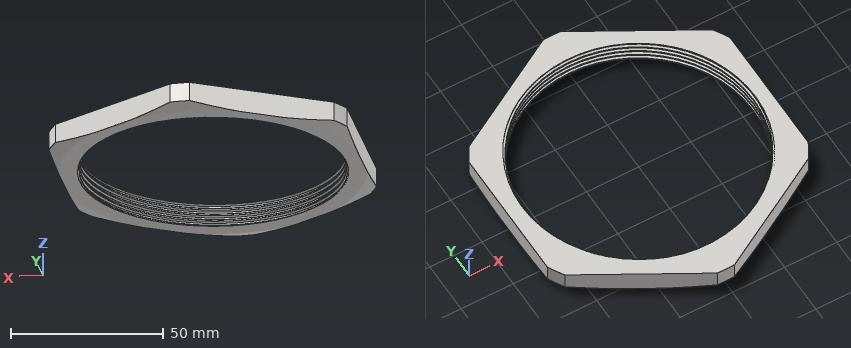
import cadquery as cq
import math

across_flats = 100.0
across_corners = 111.8
thickness = 8.0

bevel_radius = 50.5
bevel_height = 1.5

bore_radius = 44.0
thread_turns = 4
thread_pitch = thickness / thread_turns
groove_depth = 0.8
groove_mouth = 0.75 * thread_pitch
flank_slope = math.tan(math.pi / 6)
groove_overlap = 0.1
run_out_turns = 1


def hexagon_body():
    """Hexagon with flats facing +X and -X, centred on the Z axis."""
    circumdiameter = across_flats / math.cos(math.pi / 6)
    return (
        cq.Workplane("XY")
        .transformed(rotate=(0, 0, 90))
        .polygon(6, circumdiameter)
        .extrude(thickness)
    )


def turned_envelope():
    """Round blank that trims the six corners and bevels their lower ends."""
    outer_radius = across_corners / 2
    return (
        cq.Workplane("XZ")
        .moveTo(0, 0)
        .lineTo(bevel_radius, 0)
        .lineTo(outer_radius, bevel_height)
        .lineTo(outer_radius, thickness)
        .lineTo(0, thickness)
        .close()
        .revolve(360, (0, 0, 0), (0, 1, 0))
    )


def thread_groove():
    """Right-hand helical groove whose root meets both faces on the +Y side."""
    run_out = run_out_turns * thread_pitch
    path = cq.Wire.makeHelix(thread_pitch, thickness + 2 * run_out, bore_radius)
    inner_radius = bore_radius - groove_overlap
    root_radius = bore_radius + groove_depth
    inner_half_width = groove_mouth / 2 + groove_overlap * flank_slope
    root_half_width = groove_mouth / 2 - groove_depth * flank_slope
    groove = (
        cq.Workplane("XZ")
        .moveTo(inner_radius, -inner_half_width)
        .lineTo(root_radius, -root_half_width)
        .lineTo(root_radius, root_half_width)
        .lineTo(inner_radius, inner_half_width)
        .close()
        .sweep(cq.Workplane(obj=path), isFrenet=True)
    )
    return groove.translate((0, 0, -run_out)).rotate((0, 0, 0), (0, 0, 1), 90)


bore = cq.Workplane("XY").circle(bore_radius).extrude(thickness)
blank = hexagon_body().intersect(turned_envelope())
result = blank.cut(bore).cut(thread_groove())